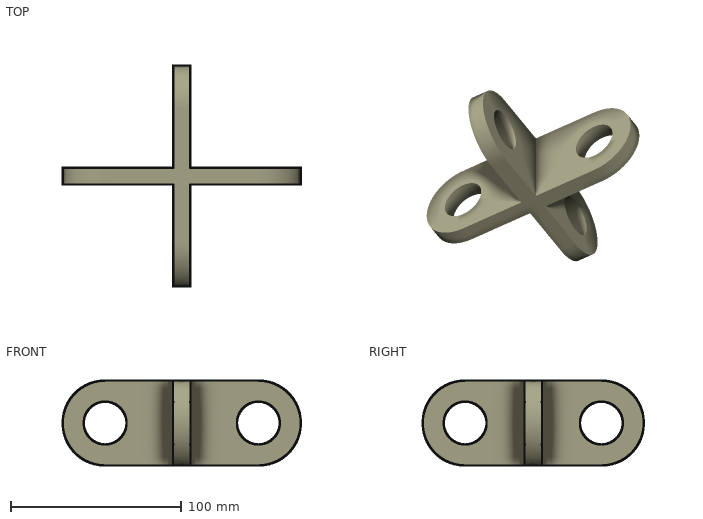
import cadquery as cq

LENGTH_X = 140.0
LENGTH_Y = 130.0
HEIGHT = 50.0
THICKNESS = 10.0
HOLE_DIAMETER = 25.0


def round_ended_plate(plane, length):
    """Upright plate with full-round ends and a hole at the centre of each end."""
    hole_spacing = length - HEIGHT
    hole_centres = [(-hole_spacing / 2, 0), (hole_spacing / 2, 0)]
    outline = cq.Workplane(plane).slot2D(length, HEIGHT)
    plate = outline.extrude(THICKNESS / 2, both=True)
    holes = (
        cq.Workplane(plane)
        .pushPoints(hole_centres)
        .circle(HOLE_DIAMETER / 2)
        .extrude(THICKNESS / 2, both=True)
    )
    return plate.cut(holes)


plate_along_x = round_ended_plate("XZ", LENGTH_X)
plate_along_y = round_ended_plate("YZ", LENGTH_Y)

result = plate_along_x.union(plate_along_y)